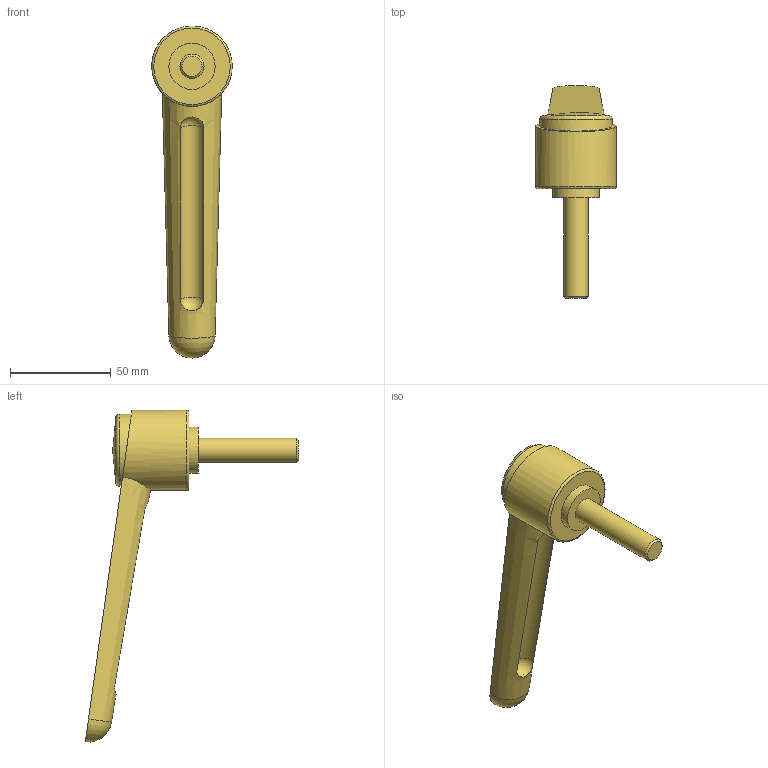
import cadquery as cq
import math

stud_length = 50.0
back_reach = 56.0
drop_below_axis = 145.02

stud_radius = 6.0
stud_chamfer = 1.0
collar_radius = 11.5
collar_height = 4.5

hub_radius = 20.0
hub_fillet = 1.0

cap_radius = 18.0
cap_base_y = 28.0
cap_rim_y = 40.9
cap_fillet = 2.0
dome_height = 1.5

tilt = 8.0
root_radius = 15.1
tip_radius = 11.5

groove_radius = 5.75
groove_top = -29.0
groove_bottom = -115.5

tilt_rad = math.radians(tilt)
tip_height = drop_below_axis - tip_radius
handle_length = tip_height / math.cos(tilt_rad)
back_y = back_reach - tip_radius * math.sin(tilt_rad) - tip_height * math.tan(tilt_rad)


def cylinder_along_y(radius, start_y, end_y):
    """Cylinder on the hub axis between two Y positions."""
    plane = cq.Workplane("XZ", origin=(0, end_y, 0))
    return plane.circle(radius).extrude(end_y - start_y)


def lean(shape):
    """Carry a shape from the upright handle frame to its leaning place on the hub."""
    return shape.rotate((0, 0, 0), (1, 0, 0), tilt).translate((0, back_y, 0))


def make_stud():
    stud = cylinder_along_y(stud_radius, -stud_length, collar_height)
    return stud.faces("<Y").chamfer(stud_chamfer)


def make_hub():
    """Cylinder with a rounded front rim, cut off at the back by the leaning handle plane."""
    hub = cylinder_along_y(hub_radius, collar_height, back_reach)
    hub = hub.faces("<Y").edges().fillet(hub_fillet)
    cutter_size = 4 * hub_radius
    cutter = cq.Workplane("XY").box(cutter_size, cutter_size, cutter_size, centered=(True, False, True))
    return hub.cut(lean(cutter))


def make_cap():
    """Round cap with a shallow domed top and a rounded rim."""
    profile = (
        cq.Workplane("XY")
        .moveTo(0, cap_base_y)
        .lineTo(cap_radius, cap_base_y)
        .lineTo(cap_radius, cap_rim_y - cap_fillet)
        .radiusArc((cap_radius - cap_fillet, cap_rim_y), -cap_fillet)
    )
    dome_chord = cap_radius - cap_fillet
    dome_radius = (dome_chord**2 + dome_height**2) / (2 * dome_height)
    profile = profile.radiusArc((0, cap_rim_y + dome_height), -dome_radius).close()
    return profile.revolve(360, (0, 0, 0), (0, 1, 0))


def make_handle():
    """Half cone and half ball, revolved about the centre line of the flat back."""
    return (
        cq.Workplane("XZ")
        .lineTo(root_radius, 0)
        .lineTo(tip_radius, -handle_length)
        .radiusArc((0, -handle_length - tip_radius), tip_radius)
        .close()
        .revolve(180, (0, 0, 0), (0, -1, 0))
    )


def groove_axis_point(z):
    """Point level with the groove edges, where the groove width meets the cone."""
    cone_radius = root_radius + (root_radius - tip_radius) * z / handle_length
    return cq.Vector(0, -math.sqrt(cone_radius**2 - groove_radius**2), z)


def make_groove():
    top = groove_axis_point(groove_top)
    bottom = groove_axis_point(groove_bottom)
    run = bottom - top
    groove = cq.Workplane(cq.Solid.makeCylinder(groove_radius, run.Length, top, run))
    for end in (top, bottom):
        groove = groove.union(cq.Workplane("XY").sphere(groove_radius).translate(end))
    return groove


collar = cylinder_along_y(collar_radius, 0, collar_height)
handle = lean(make_handle().cut(make_groove()))
result = make_hub().union(handle).union(make_cap()).union(collar).union(make_stud())